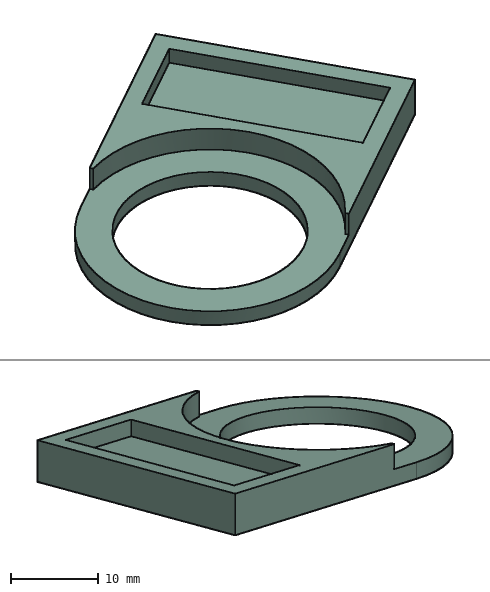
import cadquery as cq

width = 31.0
length = 46.0
base_thickness = 2.0
total_height = 5.0
hole_diameter = 22.4
block_length = 26.8
pocket_width = 26.4
pocket_length = 11.0
pocket_depth = 2.0

outer_radius = width / 2
back_y = length - outer_radius
block_center_y = back_y - block_length / 2
pocket_margin = (width - pocket_width) / 2
pocket_center_y = back_y - pocket_margin - pocket_length / 2


def make_base():
    """Flat plate with a square back end and a round front end."""
    return (
        cq.Workplane("XY")
        .moveTo(-outer_radius, back_y)
        .lineTo(-outer_radius, 0)
        .threePointArc((0, -outer_radius), (outer_radius, 0))
        .lineTo(outer_radius, back_y)
        .close()
        .extrude(base_thickness)
    )


def make_block():
    """Raised block, cut away by a round seat concentric with the ring."""
    raised_height = total_height - base_thickness
    block = (
        cq.Workplane("XY", origin=(0, block_center_y, base_thickness))
        .rect(width, block_length)
        .extrude(raised_height)
    )
    seat = (
        cq.Workplane("XY", origin=(0, 0, base_thickness))
        .circle(outer_radius)
        .extrude(raised_height)
    )
    return block.cut(seat)


def make_label_pocket():
    """Shallow rectangular recess in the top of the block."""
    return (
        cq.Workplane("XY", origin=(0, pocket_center_y, total_height - pocket_depth))
        .rect(pocket_width, pocket_length)
        .extrude(pocket_depth)
    )


def make_hole():
    """Through hole at the ring centre."""
    return cq.Workplane("XY").circle(hole_diameter / 2).extrude(base_thickness)


result = make_base().union(make_block()).cut(make_label_pocket()).cut(make_hole())